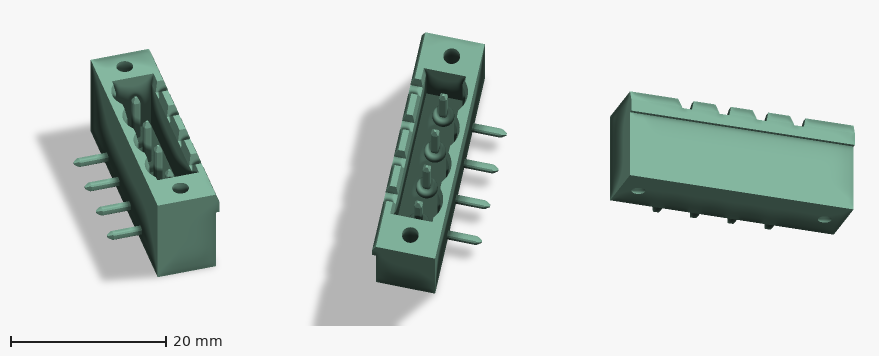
import cadquery as cq

length = 30.48
height = 12.0
depth = 7.8
lip_projection = 0.5
lip_height = 3.0
lip_bevel_height = 1.3

pole_count = 4
pitch = length / (pole_count + 2)
first_pole_x = (length - (pole_count - 1) * pitch) / 2
pole_xs = [first_pole_x + i * pitch for i in range(pole_count)]
contact_y = 3.8
tail_z = 1.8
tail_projection = 4.5
pin_width = 1.0
pin_corner = 0.18
pin_tip_length = 0.75
pin_tip_width = 0.27
contact_top_z = 10.97

cavity_length = 20.67
cavity_front_y = 1.4
cavity_back_y = 6.98
cavity_floor_z = 3.5
scallop_radius = 3.17
lead_in = 0.35
lead_in_height = 1.6

notch_depth = 1.5
notch_floor_width = 1.3
notch_top_width = 2.13

collar_diameter = 2.8
collar_height = 1.0
collar_round = 0.4

hole_diameter = 1.8
hole_counterbore_diameter = 2.15
hole_counterbore_depth = 6.1
hole_inset = pitch / 2


def make_housing():
    """Block with a bevelled lip along the top of its back face."""
    lip_y = depth + lip_projection
    lip_bottom_z = height - lip_height
    return (
        cq.Workplane("YZ")
        .moveTo(0, 0)
        .lineTo(depth, 0)
        .lineTo(depth, lip_bottom_z)
        .lineTo(lip_y, lip_bottom_z)
        .lineTo(lip_y, height - lip_bevel_height)
        .lineTo(depth, height)
        .lineTo(0, height)
        .close()
        .extrude(length)
    )


def make_cavity():
    """Pocket with a scalloped front wall; front and back walls flare out near the top."""
    front_y = cavity_front_y + lead_in
    back_y = cavity_back_y - lead_in
    lead_in_z = height - lead_in_height
    cavity = (
        cq.Workplane("YZ", origin=((length - cavity_length) / 2, 0, 0))
        .moveTo(front_y, cavity_floor_z)
        .lineTo(back_y, cavity_floor_z)
        .lineTo(back_y, lead_in_z)
        .lineTo(cavity_back_y, height)
        .lineTo(cavity_front_y, height)
        .lineTo(front_y, lead_in_z)
        .close()
        .extrude(cavity_length)
    )
    front_half = (
        cq.Workplane("XY")
        .box(cavity_length, contact_y, height, centered=False)
        .translate(((length - cavity_length) / 2, 0, 0))
    )
    bore_radius = scallop_radius - lead_in
    for x in pole_xs:
        scallop = (
            cq.Workplane("XZ", origin=(x, contact_y, 0))
            .moveTo(0, cavity_floor_z)
            .lineTo(bore_radius, cavity_floor_z)
            .lineTo(bore_radius, lead_in_z)
            .lineTo(scallop_radius, height)
            .lineTo(0, height)
            .close()
            .revolve(360, (0, 0), (0, 1))
        )
        cavity = cavity.union(scallop.intersect(front_half))
    return cavity


def make_notch(x):
    """Tapered slot across the top of the back wall."""
    return (
        cq.Workplane("XZ", origin=(x, contact_y, 0))
        .moveTo(-notch_floor_width / 2, height - notch_depth)
        .lineTo(notch_floor_width / 2, height - notch_depth)
        .lineTo(notch_top_width / 2, height)
        .lineTo(-notch_top_width / 2, height)
        .close()
        .extrude(contact_y - depth - lip_projection)
    )


def make_collar(x):
    """Round-topped ring on the cavity floor."""
    return (
        cq.Workplane("XY", origin=(x, contact_y, cavity_floor_z))
        .circle(collar_diameter / 2)
        .extrude(collar_height)
        .faces(">Z")
        .edges()
        .fillet(collar_round)
    )


def make_pin(base, pin_length):
    """Square pin with cut corners and a blunt pyramid tip, along the normal of its base plane."""
    shank_length = pin_length - pin_tip_length
    shank = (
        cq.Workplane(base)
        .rect(pin_width, pin_width)
        .extrude(pin_length)
        .edges(cq.selectors.ParallelDirSelector(base.zDir))
        .chamfer(pin_corner)
    )
    envelope = (
        cq.Workplane(base)
        .rect(pin_width, pin_width)
        .extrude(shank_length)
        .union(
            cq.Workplane(base)
            .workplane(offset=shank_length)
            .rect(pin_width, pin_width)
            .workplane(offset=pin_tip_length)
            .rect(pin_tip_width, pin_tip_width)
            .loft(ruled=True)
        )
    )
    return shank.intersect(envelope)


def make_contact(x):
    """Upright pin in the cavity and the tail leaving through the front face."""
    bend = (x, contact_y, tail_z)
    upright = make_pin(cq.Plane(bend, xDir=(1, 0, 0), normal=(0, 0, 1)), contact_top_z - tail_z)
    tail = make_pin(cq.Plane(bend, xDir=(1, 0, 0), normal=(0, -1, 0)), contact_y + tail_projection)
    return upright.union(tail)


def make_mounting_hole(x):
    """Through hole with a wider bore from the top."""
    counterbore = (
        cq.Workplane("XY", origin=(x, contact_y, height))
        .circle(hole_counterbore_diameter / 2)
        .extrude(-hole_counterbore_depth)
    )
    through_hole = (
        cq.Workplane("XY", origin=(x, contact_y, 0))
        .circle(hole_diameter / 2)
        .extrude(height)
    )
    return counterbore.union(through_hole)


result = make_housing().cut(make_cavity())

for pole_x in pole_xs:
    result = result.cut(make_notch(pole_x))
    result = result.union(make_collar(pole_x))
    result = result.union(make_contact(pole_x))

for hole_x in (hole_inset, length - hole_inset):
    result = result.cut(make_mounting_hole(hole_x))